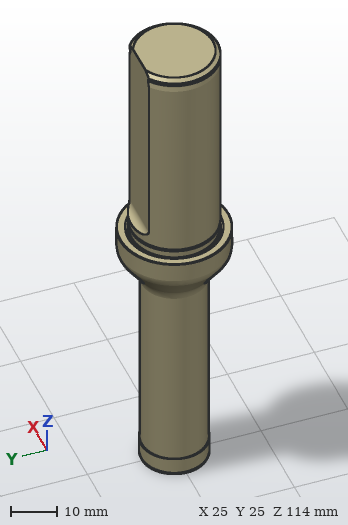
import cadquery as cq

length = 114.0

shank_radius = 20.0 / 2
neck_radius = 19.5 / 2
end_face_radius = 8.9
end_chamfer_height = 0.8
lip_height = 0.7
groove_floor_height = 0.7
groove_ramp_height = 1.0
flat_offset = 8.1
flat_runout_radius = shank_radius - flat_offset
flat_end_z = 68.0

collar_radius = 25.0 / 2
collar_top_z = 64.1
collar_rim_chamfer = 0.1
relief_top_z = 66.1
relief_ramp_height = 0.7
relief_depth = 0.3
relief_floor_width = 0.3
relief_outer_radius = 10.6

stem_radius = 14.9 / 2
cone_top_z = 58.3
cone_bottom_z = 51.2
collar_blend_radius = 3.2
stem_blend_radius = 3.9

head_radius = 7.6
head_top_z = 4.7
head_chamfer_top_z = 0.8
tip_rim_z = 0.2
tip_rim_radius = 7.4

selection_margin = 0.1


def ring_at(z):
    """Selector for the circular edge that lies at height z."""
    low_corner = (-length, -length, z - selection_margin)
    high_corner = (length, length, z + selection_margin)
    return cq.selectors.BoxSelector(low_corner, high_corner, boundingbox=True)


def make_turned_body():
    """Revolve shank, collar, cone and stem, then blend both ends of the cone."""
    lip_top_z = length - end_chamfer_height
    groove_top_z = lip_top_z - lip_height
    groove_floor_z = groove_top_z - groove_floor_height
    relief_floor_z = collar_top_z - relief_depth
    body = (
        cq.Workplane("XZ")
        .moveTo(0, head_top_z)
        .lineTo(stem_radius, head_top_z)
        .lineTo(stem_radius, cone_bottom_z)
        .lineTo(collar_radius, cone_top_z)
        .lineTo(collar_radius, collar_top_z - collar_rim_chamfer)
        .lineTo(collar_radius - collar_rim_chamfer, collar_top_z)
        .lineTo(relief_outer_radius, collar_top_z)
        .lineTo(neck_radius + relief_floor_width, relief_floor_z)
        .lineTo(neck_radius, relief_floor_z)
        .lineTo(neck_radius, relief_top_z - relief_ramp_height)
        .lineTo(shank_radius, relief_top_z)
        .lineTo(shank_radius, groove_floor_z - groove_ramp_height)
        .lineTo(neck_radius, groove_floor_z)
        .lineTo(neck_radius, groove_top_z)
        .lineTo(shank_radius, groove_top_z)
        .lineTo(shank_radius, lip_top_z)
        .lineTo(end_face_radius, length)
        .lineTo(0, length)
        .close()
        .revolve(360, (0, 0, 0), (0, 1, 0))
    )
    body = body.edges(ring_at(cone_top_z)).fillet(collar_blend_radius)
    return body.edges(ring_at(cone_bottom_z)).fillet(stem_blend_radius)


def make_flat_cutter():
    """Block that cuts the flat on +Y, with a rounded run-out at its lower end."""
    block_height = length - flat_end_z
    return (
        cq.Workplane("XY")
        .box(2 * shank_radius, shank_radius, block_height, centered=(True, False, False))
        .translate((0, flat_offset, flat_end_z))
        .edges("|X and <Y and <Z")
        .fillet(flat_runout_radius)
    )


def make_head():
    """Short head below the stem, with a chamfered rim and a shallow conical tip."""
    return (
        cq.Workplane("XZ")
        .lineTo(tip_rim_radius, tip_rim_z)
        .lineTo(head_radius, head_chamfer_top_z)
        .lineTo(head_radius, head_top_z)
        .lineTo(0, head_top_z)
        .close()
        .revolve(360, (0, 0, 0), (0, 1, 0))
    )


holder = make_turned_body().cut(make_flat_cutter())
head = make_head()

result = cq.Compound.makeCompound([holder.val(), head.val()])